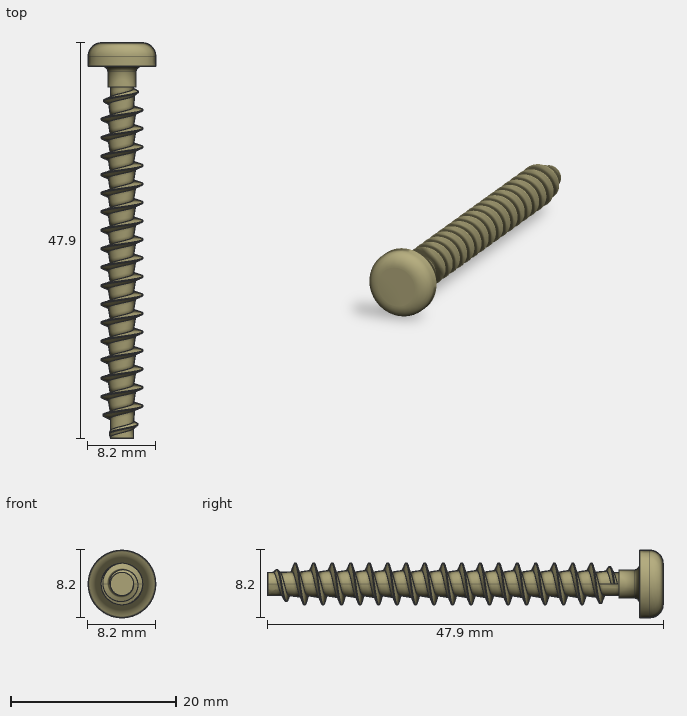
import cadquery as cq
import math


head_radius = 4.1
head_height = 2.89
head_edge_radius = 1.65
underside_edge_radius = 0.12

shank_length = 45.0
neck_radius = 1.72
neck_length = 2.5
neck_fillet = 0.6
core_radius = 1.42

pitch = 2.24
crest_radius = 2.52
flare_radius = 1.66
crest_half_width = 0.06
upper_base_half_width = 0.36
lower_base_half_width = 0.42
crest_reference_y = -7.5

first_turn = -2.0
full_height_from = -1.0
full_height_to = 15.25
last_turn = 16.5
flare_fades_from = 14.5
first_height_share = 0.5
last_height_share = 0.1

stretch = 0.5
samples_per_stretch = 12


def make_head_and_neck():
    """Pan head and plain neck turned around Y."""
    corner = 1 - math.sqrt(0.5)
    return (
        cq.Workplane("YZ")
        .moveTo(head_height, 0)
        .lineTo(head_height, head_radius - head_edge_radius)
        .threePointArc(
            (head_height - head_edge_radius * corner, head_radius - head_edge_radius * corner),
            (head_height - head_edge_radius, head_radius),
        )
        .lineTo(underside_edge_radius, head_radius)
        .threePointArc(
            (underside_edge_radius * corner, head_radius - underside_edge_radius * corner),
            (0, head_radius - underside_edge_radius),
        )
        .lineTo(0, neck_radius + neck_fillet)
        .threePointArc(
            (-neck_fillet * corner, neck_radius + neck_fillet * corner),
            (-neck_fillet, neck_radius),
        )
        .lineTo(-neck_length, neck_radius)
        .lineTo(-neck_length, 0)
        .close()
        .revolve(360, (0, 0, 0), (1, 0, 0))
    )


def ramp(turn, start, start_share, end, end_share):
    """Straight-line change between two turns, constant outside them."""
    progress = min(1, max(0, (turn - start) / (end - start)))
    return start_share + progress * (end_share - start_share)


def height_share(turn):
    """Thread height as a share of the full height, lower in both run-outs."""
    rise = ramp(turn, first_turn, first_height_share, full_height_from, 1)
    fall = ramp(turn, full_height_to, 1, last_turn, last_height_share)
    return min(rise, fall)


def point_at(turn, radius, y):
    """Point on the given radius and height, on the side that the turn count has reached."""
    angle = 2 * math.pi * turn
    return cq.Vector(radius * math.cos(angle), y, radius * math.sin(angle))


def thread_point(turn, radius, offset):
    return point_at(turn, radius, crest_reference_y - pitch * turn + offset)


def upper_base(turn):
    return thread_point(turn, core_radius, upper_base_half_width)


def crest_at(turn, offset):
    radius = core_radius + height_share(turn) * (crest_radius - core_radius)
    return thread_point(turn, radius, offset)


def upper_crest(turn):
    return crest_at(turn, crest_half_width)


def lower_crest(turn):
    return crest_at(turn, -crest_half_width)


def lower_base(turn):
    """Foot of the lower flank, flared out until the last turn."""
    flare_share = min(height_share(turn), ramp(turn, flare_fades_from, 1, last_turn - 1, 0))
    radius = core_radius + flare_share * (flare_radius - core_radius)
    return thread_point(turn, radius, -lower_base_half_width)


def next_upper_base(turn):
    return upper_base(turn + 1)


def neck_end(turn):
    return point_at(turn, core_radius, -neck_length)


def tip_end(turn):
    return point_at(turn, core_radius, -shank_length)


def path(corner, start):
    """One stretch of the curve that a corner follows."""
    turns = [start + stretch * i / samples_per_stretch for i in range(samples_per_stretch + 1)]
    return cq.Edge.makeSpline([corner(turn) for turn in turns])


def strip(corner, other_corner, start_turn, end_turn):
    """Ruled faces between the curves of two corners, one per stretch."""
    count = round((end_turn - start_turn) / stretch)
    starts = [start_turn + stretch * i for i in range(count)]
    return [cq.Face.makeRuledSurface(path(corner, s), path(other_corner, s)) for s in starts]


def end_disc(corner):
    edges = [path(corner, 0), path(corner, stretch)]
    return cq.Face.makeFromWires(cq.Wire.assembleEdges(edges))


def end_cap(points):
    return cq.Face.makeFromWires(cq.Wire.makePolygon(points, close=True))


def make_threaded_shank():
    """Core and thread as one solid bounded by helical strips."""
    faces = [end_disc(neck_end), end_disc(tip_end)]
    faces += strip(neck_end, upper_base, first_turn, first_turn + 1)
    faces += strip(upper_base, upper_crest, first_turn, last_turn)
    faces += strip(upper_crest, lower_crest, first_turn, last_turn)
    faces += strip(lower_crest, lower_base, first_turn, last_turn)
    faces += strip(lower_base, next_upper_base, first_turn, last_turn - 1)
    faces += strip(lower_base, tip_end, last_turn - 1, last_turn)

    profile = [upper_base, upper_crest, lower_crest, lower_base]
    start_cap = [corner(first_turn) for corner in profile]
    faces.append(end_cap(start_cap + [upper_base(first_turn + 1)]))
    finish_cap = [corner(last_turn) for corner in profile]
    faces.append(end_cap([lower_base(last_turn - 1)] + finish_cap))
    return cq.Solid.makeSolid(cq.Shell.makeShell(faces))


result = make_head_and_neck().union(cq.Workplane(make_threaded_shank()))